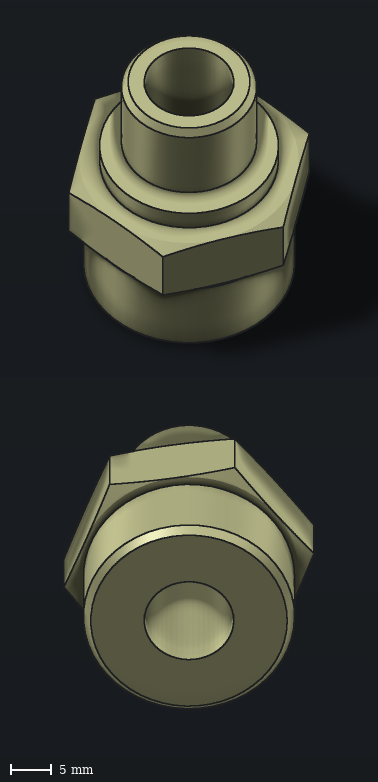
import cadquery as cq
import math

hex_bottom = 12.0
hex_top = 20.3
collar_top = 23.0
total_height = 35.0

across_flats = 27.0
across_corners = across_flats / math.cos(math.radians(30))
hex_chamfer_angle = 15.0

lower_diameter = 26.0
lower_end_chamfer = 0.92
collar_diameter = 22.0
upper_diameter = 16.66
upper_end_chamfer = 0.84
bore_diameter = 11.0


def chamfered_cylinder(diameter, bottom, top, chamfer):
    """Cylinder on the Z axis with both end edges chamfered."""
    cylinder = cq.Workplane("XY").workplane(offset=bottom).circle(diameter / 2).extrude(top - bottom)
    return cylinder.faces("<Z or >Z").edges().chamfer(chamfer)


def hexagon():
    """Hexagon with corners on the Y axis, its corners turned conical at both ends."""
    height = hex_top - hex_bottom
    prism = (
        cq.Workplane("XY")
        .workplane(offset=hex_bottom)
        .polygon(6, across_corners)
        .extrude(height)
        .rotate((0, 0, 0), (0, 0, 1), 90)
    )
    flat_radius = across_flats / 2
    cone_radius = across_corners
    cone_drop = (cone_radius - flat_radius) * math.tan(math.radians(hex_chamfer_angle))
    turning_profile = [
        (0, hex_bottom),
        (flat_radius, hex_bottom),
        (cone_radius, hex_bottom + cone_drop),
        (cone_radius, hex_top - cone_drop),
        (flat_radius, hex_top),
        (0, hex_top),
    ]
    turned_envelope = cq.Workplane("XZ").polyline(turning_profile).close().revolve(360, (0, 0), (0, 1))
    return prism.intersect(turned_envelope)


lower_stud = chamfered_cylinder(lower_diameter, 0, hex_bottom, lower_end_chamfer)
collar = cq.Workplane("XY").workplane(offset=hex_top).circle(collar_diameter / 2).extrude(collar_top - hex_top)
upper_stud = chamfered_cylinder(upper_diameter, collar_top, total_height, upper_end_chamfer)
bore = cq.Workplane("XY").circle(bore_diameter / 2).extrude(total_height)

result = lower_stud.union(hexagon()).union(collar).union(upper_stud).cut(bore)